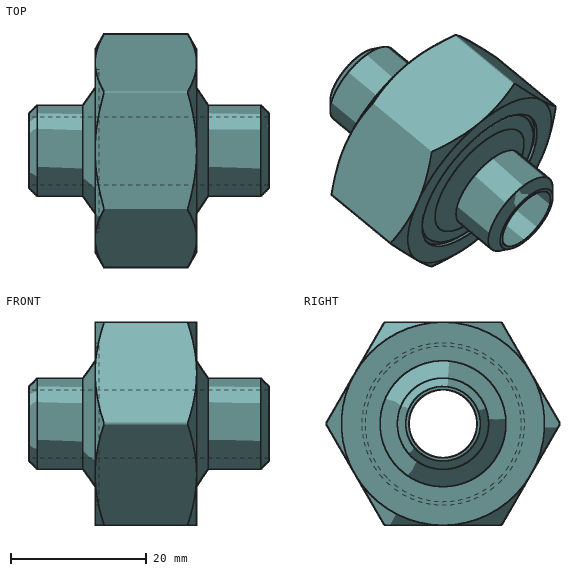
import cadquery as cq
import math

total_length = 35.5
bore_radius = 5.0
end_radius = 5.5
pipe_radius = 6.75

nut_start = 9.8
nut_length = 14.98
hexagon_sides = 6
across_flats = 30.0
corner_rounding = 0.4
nut_chamfer_angle = 30.0

left_pipe_length = 8.0
right_pipe_length = 9.0
cone_end_radius = 9.3

groove_outer_radius = 12.0
shoulder_rounding = 0.5
shoulder_radius = groove_outer_radius - shoulder_rounding
groove_depth = shoulder_rounding

nut_end = nut_start + nut_length
flat_radius = across_flats / 2
corner_radius = flat_radius / math.cos(math.pi / hexagon_sides)
bevel = pipe_radius - end_radius
right_cone_start = total_length - right_pipe_length
nut_bevel = (corner_radius - flat_radius) * math.tan(math.radians(nut_chamfer_angle))


def revolve_about_axis(profile):
    """Turn an (x, radius) profile around the X axis."""
    return profile.close().revolve(360, (0, 0, 0), (1, 0, 0))


def make_nut():
    """Hexagon with a flat on top, rounded corners and both end faces chamfered."""
    hexagon = (
        cq.Workplane("YZ", origin=(nut_start, 0, 0))
        .polygon(hexagon_sides, 2 * corner_radius)
        .extrude(nut_length)
        .edges("|X")
        .fillet(corner_rounding)
    )
    chamfer_envelope = revolve_about_axis(
        cq.Workplane("XY")
        .moveTo(nut_start, 0)
        .lineTo(nut_start, flat_radius)
        .lineTo(nut_start + nut_bevel, corner_radius)
        .lineTo(nut_end - nut_bevel, corner_radius)
        .lineTo(nut_end, flat_radius)
        .lineTo(nut_end, 0)
    )
    return hexagon.intersect(chamfer_envelope)


def make_nut_recess():
    """Opening in the left nut face that the rounded shoulder sits in."""
    return (
        cq.Workplane("YZ", origin=(nut_start, 0, 0))
        .circle(groove_outer_radius)
        .extrude(groove_depth)
    )


def make_tube():
    """Both weld ends with their cones, and the rounded shoulder inside the nut recess."""
    round_mid = shoulder_rounding * math.sqrt(0.5)
    round_center_x = nut_start + groove_depth
    round_center_r = shoulder_radius - shoulder_rounding
    return revolve_about_axis(
        cq.Workplane("XY")
        .lineTo(0, end_radius)
        .lineTo(bevel, pipe_radius)
        .lineTo(left_pipe_length, pipe_radius)
        .lineTo(nut_start, cone_end_radius)
        .lineTo(nut_start, round_center_r)
        .threePointArc(
            (round_center_x - round_mid, round_center_r + round_mid),
            (round_center_x, shoulder_radius),
        )
        .lineTo(nut_end, shoulder_radius)
        .lineTo(nut_end, cone_end_radius)
        .lineTo(right_cone_start, pipe_radius)
        .lineTo(total_length - bevel, pipe_radius)
        .lineTo(total_length, end_radius)
        .lineTo(total_length, 0)
    )


bore = cq.Workplane("YZ").circle(bore_radius).extrude(total_length)

result = make_nut().cut(make_nut_recess()).union(make_tube()).cut(bore)
result = result.translate((-total_length / 2, 0, 0))